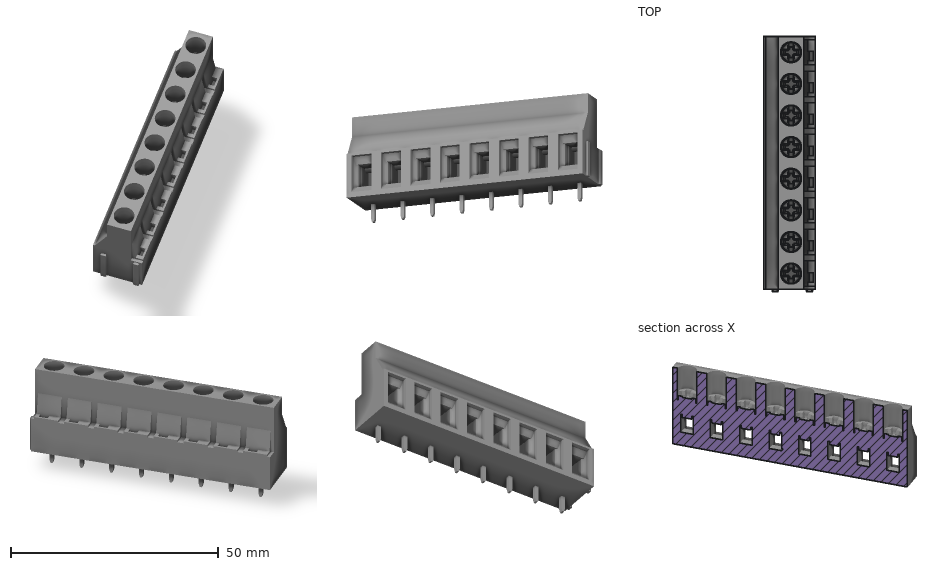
import cadquery as cq

pole_count = 8
body_depth = 12.5
body_length = 60.95
body_height = 21.0
pitch = body_length / pole_count
overlap = 0.3

tower_front = 3.6
tower_back = 9.65
slope_front = 0.5
slope_bottom = 10.95
slope_top = 16.1
shoulder_height = 8.9

ledge_width = 6.1
ledge_height = 9.5
ramp_foot = 10.65
ramp_top = 14.6
pocket_front = ramp_foot
pocket_back = 12.0
pocket_depth = 1.55
pocket_slope_run = 0.3
pocket_high_side = 0.25
pocket_low_side = -2.1

entry_width = 5.1
entry_bottom = 1.3
entry_top = 10.4
entry_floor = 2.8
entry_ceiling = 8.5
entry_straight_depth = 1.4
ceiling_slope_start = 1.3
ceiling_slope_end = 1.85
channel_width = 3.3
channel_depth = 4.3
clamp_width = 3.1
clamp_floor = 3.7
clamp_back = 8.6
jaw_width = 2.5
jaw_bottom = 7.6
jaw_radius = entry_ceiling - jaw_bottom

screw_x = (tower_front + tower_back) / 2
screw_hole_diameter = 5.0
screw_hole_floor = 12.3
screw_diameter = 4.7
screw_height = 2.45
slot_width = 1.0
slot_depth = 1.25
cross_length_x = 3.65
cross_length_y = 3.2
cross_width = 1.55
cross_depth = 1.55
cross_taper = 15.0
star_side = 1.65

pin_x = 8.1
pin_width = 1.0
pin_length = 4.45
pin_tip_length = 0.85
pin_tip_width = 0.5

key_centers = (2.8, 11.1)
key_height = 8.55
key_projection = 0.6
key_shoulder = 0.4
key_neck_width = 1.0
key_wide_width = 1.5
key_face_width = 1.1


def box(x_range, y_range, z_range):
    """Box spanning the given coordinate ranges."""
    size = [high - low for low, high in (x_range, y_range, z_range)]
    corner = (x_range[0], y_range[0], z_range[0])
    return cq.Workplane("XY").box(*size, centered=False).translate(corner)


def centered_range(center, width):
    return (center - width / 2, center + width / 2)


def extrude_along_y(outline, width, center):
    """Extrude an XZ outline symmetrically about the plane Y = center."""
    profile = cq.Workplane("XZ").polyline(outline).close()
    return profile.extrude(width / 2, both=True).translate((0, center, 0))


def housing():
    outline = [
        (0, 0),
        (body_depth, 0),
        (body_depth, shoulder_height),
        (tower_back, shoulder_height),
        (tower_back, body_height),
        (tower_front, body_height),
        (tower_front, slope_top),
        (slope_front, slope_bottom),
        (0, slope_bottom),
    ]
    return extrude_along_y(outline, body_length, body_length / 2)


def rear_ledge(y):
    """Raised ledge with a steep ramp against the tower and a small pocket."""
    outline = [
        (tower_back - overlap, shoulder_height - overlap),
        (body_depth, shoulder_height - overlap),
        (body_depth, ledge_height),
        (ramp_foot, ledge_height),
        (tower_back, ramp_top),
        (tower_back - overlap, ramp_top),
    ]
    return extrude_along_y(outline, ledge_width, y)


def ledge_pocket(y):
    """Pocket in the ledge whose front wall carries on down from the ramp foot."""
    floor = ledge_height - pocket_depth
    outline = [
        (pocket_front, ledge_height),
        (pocket_front + pocket_slope_run, floor),
        (pocket_back, floor),
        (pocket_back, ledge_height),
    ]
    width = pocket_high_side - pocket_low_side
    return extrude_along_y(outline, width, y + (pocket_high_side + pocket_low_side) / 2)


def wire_entry(y):
    """Funnel with a sloped sill and a dropping ceiling that narrows into the clamp chamber."""
    taper_end = entry_straight_depth + (entry_width - channel_width) / 2
    side_view = [
        (0, entry_bottom),
        (entry_straight_depth, entry_floor),
        (channel_depth, entry_floor),
        (channel_depth, entry_ceiling),
        (ceiling_slope_end, entry_ceiling),
        (ceiling_slope_start, entry_top),
        (0, entry_top),
    ]
    plan_view = [
        (0, -entry_width / 2),
        (entry_straight_depth, -entry_width / 2),
        (taper_end, -channel_width / 2),
        (channel_depth, -channel_width / 2),
        (channel_depth, channel_width / 2),
        (taper_end, channel_width / 2),
        (entry_straight_depth, entry_width / 2),
        (0, entry_width / 2),
    ]
    plan = cq.Workplane("XY").polyline(plan_view).close().extrude(body_height).translate((0, y, 0))
    funnel = extrude_along_y(side_view, entry_width, y).intersect(plan)
    chamber = box(
        (channel_depth - overlap, clamp_back),
        centered_range(y, clamp_width),
        (clamp_floor, entry_ceiling),
    )
    return funnel.union(chamber)


def clamp_jaw(y):
    """Round-nosed jaw that hangs from the chamber ceiling below the screw."""
    top = entry_ceiling + overlap
    profile = (
        cq.Workplane("XZ")
        .moveTo(screw_x - jaw_radius, top)
        .lineTo(screw_x - jaw_radius, entry_ceiling)
        .threePointArc((screw_x, jaw_bottom), (screw_x + jaw_radius, entry_ceiling))
        .lineTo(screw_x + jaw_radius, top)
        .close()
    )
    return profile.extrude(jaw_width / 2, both=True).translate((0, y, 0))


def screw_hole(y):
    hole = cq.Workplane("XY").circle(screw_hole_diameter / 2).extrude(body_height - screw_hole_floor)
    return hole.translate((screw_x, y, screw_hole_floor))


def screw_head(y):
    """Screw head with a full slot along Y and a tapered cross and diamond recess."""
    base = screw_hole_floor - overlap
    top = screw_hole_floor + screw_height
    head = cq.Workplane("XY").circle(screw_diameter / 2).extrude(top - base).translate((0, 0, base))
    face = cq.Workplane("XY", origin=(0, 0, top))
    slot = face.rect(slot_width, screw_diameter).extrude(-slot_depth)
    head = head.cut(slot)
    for length_x, length_y in ((cross_length_x, cross_width), (cross_width, cross_length_y)):
        head = head.cut(face.rect(length_x, length_y).extrude(-cross_depth, taper=cross_taper))
    star = face.transformed(rotate=(0, 0, 45)).rect(star_side, star_side)
    head = head.cut(star.extrude(-cross_depth))
    return head.translate((screw_x, y, 0))


def solder_pin(y):
    """Square pin whose two Y sides taper at the tip."""
    half = pin_width / 2
    half_tip = pin_tip_width / 2
    tip_start = pin_tip_length - pin_length
    outline = [
        (-half, overlap),
        (-half, tip_start),
        (-half_tip, -pin_length),
        (half_tip, -pin_length),
        (half, tip_start),
        (half, overlap),
    ]
    pin = cq.Workplane("YZ").polyline(outline).close().extrude(half, both=True)
    return pin.translate((pin_x, y, 0))


def end_key(x):
    """Vertical key that widens away from the end face, with chamfered outer corners."""
    outline = [
        (-key_neck_width / 2, overlap),
        (-key_neck_width / 2, 0),
        (-key_wide_width / 2, -key_shoulder),
        (-key_face_width / 2, -key_projection),
        (key_face_width / 2, -key_projection),
        (key_wide_width / 2, -key_shoulder),
        (key_neck_width / 2, 0),
        (key_neck_width / 2, overlap),
    ]
    return cq.Workplane("XY").polyline(outline).close().extrude(key_height).translate((x, 0, 0))


result = housing()
for index in range(pole_count):
    pole_y = pitch * (index + 0.5)
    result = result.union(rear_ledge(pole_y)).cut(ledge_pocket(pole_y))
    result = result.cut(wire_entry(pole_y)).union(clamp_jaw(pole_y))
    result = result.cut(screw_hole(pole_y)).union(screw_head(pole_y))
    result = result.union(solder_pin(pole_y))

for key_x in key_centers:
    result = result.union(end_key(key_x))